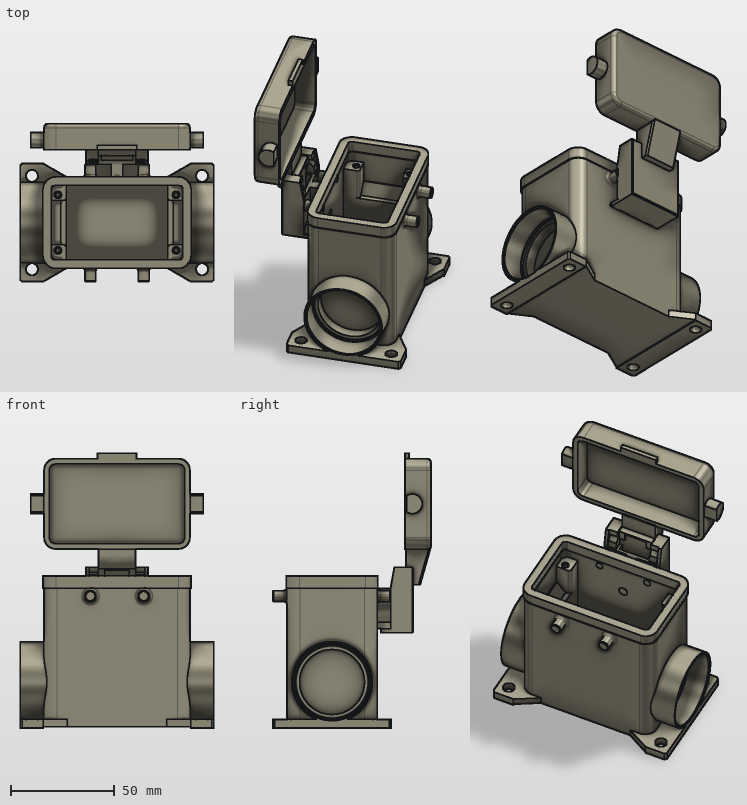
import cadquery as cq
import math

SIDES = (-1, 1)

OVERLAP = 1.0

RIM_LENGTH = 71.4
RIM_WIDTH = 44.2
SHELL_LENGTH = 70.4
SHELL_WIDTH = 43.6
SHELL_TOP = 73.3
SHELL_BOTTOM = 0.5
RIM_HEIGHT = 5.8
RIM_BOTTOM = SHELL_TOP - RIM_HEIGHT
SHELL_CORNER = 6.2
WALL_Y = SHELL_WIDTH / 2

MOUTH_LENGTH = 63.2
MOUTH_WIDTH = 35.8
MOUTH_CORNER = 2.0
WELL_STEP_X = 0.5
WELL_STEP_Y = 0.9
WELL_CORNER = 3.6
WELL_FLOOR = 4.2
WELL_LENGTH = MOUTH_LENGTH + 2 * WELL_STEP_X
WELL_WIDTH = MOUTH_WIDTH + 2 * WELL_STEP_Y

LEDGE_X = 24.4
LEDGE_TOP = 45.9
LEDGE_SLOPE_X = 27.0
LEDGE_SLOPE_TOP = 51.2
POST_Y = 10.7
POST_TOP = 61.8
POST_EDGE_FILLET = 1.5
POST_HOLE_X = 28.5
POST_HOLE_Y = 13.4
POST_HOLE_DIAMETER = 2.4
POST_HOLE_MOUTH_DIAMETER = 3.5
POST_HOLE_DEPTH = 12.0
POST_HOLE_COUNTERSINK_ANGLE = 90.0

OVERALL_LENGTH = 93.5
END_X = OVERALL_LENGTH / 2
PORT_Z = 22.2
PORT_RADIUS = 19.5
BORE_RADIUS = 18.2
BORE_DEPTH = 10.8
BORE_MOUTH_CHAMFER = 0.5
BORE_MOUTH_ANGLE = 45.0
SEAT_RADIUS = 17.5
SEAT_DEPTH = 12.0
KNOCKOUT_RADIUS = 15.7
KNOCKOUT_DEPTH = 17.5

FOOT_HALF_WIDTH = 28.5
FOOT_INNER_X = 35.6
FOOT_THICKNESS = 4.2
FOOT_TAPER_ANGLE = 30.0
FOOT_CORNER = 1.0
FOOT_HOLE_X = 41.0
FOOT_HOLE_Y = 22.5
FOOT_HOLE_DIAMETER = 5.7

PEG_X = 12.85
PEG_Z = 63.6
PEG_RADIUS = 2.7
PEG_ROOT_FILLET = 1.5
PEG_TIP_CHAMFER = 0.4
FRONT_PEG_END = FOOT_HALF_WIDTH
HINGE_FRONT = 28.2

UPPER_STUD_RADIUS = 1.8
LOWER_STUD_RADIUS = 2.3
LOWER_STUD_Z = 51.6

PAD_TOP = 67.3
PAD_BOTTOM = 47.9
PAD_STEM_HALF_WIDTH = 2.7
PAD_FLARE_RADIUS = 8.3
PAD_FOOT_SLOPE_TOP = 51.0

BRACKET_HALF_WIDTH = 15.0
BRACKET_REAR = 39.1
BRACKET_TOP = 77.6
BRACKET_BOTTOM = 45.9
BRACKET_TOP_FRONT = 30.0
BRACKET_SLOPE_BOTTOM = 67.6
BRACKET_LIP_FRONT = 23.6
BRACKET_REAR_CHAMFER = 0.5
CHEEK_OUTER_THICKNESS = 1.7
CHEEK_SETBACK = 0.6
BARREL_TOP = 76.9
BARREL_FRONT = 32.3
BARREL_SKIN = 0.8
BARREL_HOOK_BOTTOM = 72.0
RECESS_HALF_WIDTH = 5.8
RECESS_DEPTH = 0.8
CROSSBAR_REAR = 30.0
TROUGH_HALF_WIDTH = 7.5
TROUGH_FLOOR = 60.0
NOTCH_TOP = 75.0
NOTCH_FRONT_Z = 70.3
NOTCH_BACK_Y = 32.2
NOTCH_BACK_Z = 73.8

LID_FRONT = 35.1
LID_REAR = 47.75
LID_LENGTH = SHELL_LENGTH
LID_BOTTOM = 86.3
LID_HEIGHT = 43.6
LID_CORNER = 5.6
LID_REAR_FILLET = 2.0
LID_LIP = 2.6
LID_DEPTH = 10.0
LID_MID_Z = LID_BOTTOM + LID_HEIGHT / 2
TAB_WIDTH = 19.0
TAB_TOP = 132.5
TAB_THICKNESS = 2.1
LUG_END_X = 41.7
LUG_RADIUS = 4.75
LUG_Y = 38.75
LUG_FLAT_Y = 36.0

ARM_HALF_WIDTH = 9.0
ARM_FRONT = 35.6
ARM_BOTTOM = 69.0
ARM_BOTTOM_REAR = 42.5
ARM_SLOPE_TOP = 87.5
ARM_EDGE_CHAMFER = 0.8


def box(x_range, y_range, z_range):
    size = [high - low for low, high in (x_range, y_range, z_range)]
    return cq.Workplane("XY").box(*size, centered=False).translate((x_range[0], y_range[0], z_range[0]))


def rounded_block(length, width, bottom, top, corner):
    block = cq.Workplane("XY").workplane(offset=bottom).rect(length, width).extrude(top - bottom)
    return block.edges("|Z").fillet(corner)


def y_cylinder(x, z, radius, y_start, y_end):
    circle = cq.Workplane("XZ", origin=(x, y_start, z)).circle(radius)
    return circle.extrude(y_start - y_end)


def x_extrusion(yz_points, half_width):
    """Closed outline in the YZ plane, extruded symmetrically about X = 0."""
    return cq.Workplane("YZ").polyline(yz_points).close().extrude(half_width, both=True)


def foot(side):
    """Base plate under one end, tapering in towards the side walls."""
    taper_run = (FOOT_HALF_WIDTH - WALL_Y) / math.tan(math.radians(FOOT_TAPER_ANGLE))
    taper_end_x = FOOT_INNER_X - taper_run
    outline = [
        (taper_end_x, -WALL_Y),
        (FOOT_INNER_X, -FOOT_HALF_WIDTH),
        (END_X, -FOOT_HALF_WIDTH),
        (END_X, FOOT_HALF_WIDTH),
        (FOOT_INNER_X, FOOT_HALF_WIDTH),
        (taper_end_x, WALL_Y),
    ]
    plate = cq.Workplane("XY").polyline(outline).close().extrude(FOOT_THICKNESS)
    plate = plate.edges("|Z and >X").chamfer(FOOT_CORNER)
    raised_part = box((0, FOOT_INNER_X), (-FOOT_HALF_WIDTH, FOOT_HALF_WIDTH), (0, SHELL_BOTTOM))
    holes = cq.Workplane("XY").pushPoints([(FOOT_HOLE_X, y * FOOT_HOLE_Y) for y in SIDES])
    holes = holes.circle(FOOT_HOLE_DIAMETER / 2).extrude(FOOT_THICKNESS)
    plate = plate.cut(raised_part).cut(holes)
    return plate if side > 0 else plate.mirror("YZ")


def port_cylinder(side, radius, depth):
    """Cylinder reaching inwards from one end of the housing along X."""
    start = cq.Workplane("YZ", origin=(side * END_X, 0, PORT_Z))
    return start.circle(radius).extrude(-side * depth)


def port_bore(side):
    """Stepped bore that stops at a closed knockout wall."""
    bore = port_cylinder(side, BORE_RADIUS, BORE_DEPTH)
    mouth = cq.Workplane("YZ", origin=(side * END_X, 0, PORT_Z)).circle(BORE_RADIUS + BORE_MOUTH_CHAMFER)
    mouth = mouth.extrude(-side * BORE_MOUTH_CHAMFER, taper=BORE_MOUTH_ANGLE)
    seat = port_cylinder(side, SEAT_RADIUS, SEAT_DEPTH)
    knockout = port_cylinder(side, KNOCKOUT_RADIUS, KNOCKOUT_DEPTH)
    return bore.union(mouth).union(seat).union(knockout)


def end_ledge(side):
    """Thick lower end wall with a sloped shoulder."""
    wall_x = MOUTH_LENGTH / 2
    back_x = WELL_LENGTH / 2 + OVERLAP
    outline = [
        (LEDGE_X, WELL_FLOOR),
        (LEDGE_X, LEDGE_TOP),
        (LEDGE_SLOPE_X, LEDGE_TOP),
        (wall_x, LEDGE_SLOPE_TOP),
        (back_x, LEDGE_SLOPE_TOP),
        (back_x, WELL_FLOOR),
    ]
    ledge = cq.Workplane("XZ").polyline([(side * x, z) for x, z in outline]).close()
    return ledge.extrude(WELL_WIDTH / 2, both=True)


def screw_post(x_side, y_side):
    post = box((LEDGE_X, WELL_LENGTH / 2), (POST_Y, WELL_WIDTH / 2), (WELL_FLOOR, POST_TOP))
    post = post.edges("|Z and <X and <Y").fillet(POST_EDGE_FILLET)
    post = post.faces(">Z").workplane(origin=(POST_HOLE_X, POST_HOLE_Y, POST_TOP))
    post = post.cskHole(
        POST_HOLE_DIAMETER, POST_HOLE_MOUTH_DIAMETER, POST_HOLE_COUNTERSINK_ANGLE, POST_HOLE_DEPTH
    )
    if x_side < 0:
        post = post.mirror("YZ")
    if y_side < 0:
        post = post.mirror("XZ")
    return post


def peg(x, y_end):
    """Round peg with a flared root on the wall, revolved about its own axis."""
    length = abs(y_end) - WALL_Y
    root_radius = PEG_RADIUS + PEG_ROOT_FILLET
    arc_mid = PEG_ROOT_FILLET * (1 - math.sqrt(0.5))
    profile = (
        cq.Workplane("XY")
        .moveTo(0, -OVERLAP)
        .lineTo(root_radius, -OVERLAP)
        .lineTo(root_radius, 0)
        .threePointArc((PEG_RADIUS + arc_mid, arc_mid), (PEG_RADIUS, PEG_ROOT_FILLET))
        .lineTo(PEG_RADIUS, length - PEG_TIP_CHAMFER)
        .lineTo(PEG_RADIUS - PEG_TIP_CHAMFER, length)
        .lineTo(0, length)
        .close()
    )
    solid = profile.revolve(360, (0, 0, 0), (0, 1, 0)).translate((x, WALL_Y, PEG_Z))
    return solid if y_end > 0 else solid.mirror("XZ")


def hinge_studs():
    """Three studs that run from the bracket through the rear wall, flush with its inner face."""
    inner_y = WELL_WIDTH / 2
    studs = y_cylinder(0, LOWER_STUD_Z, LOWER_STUD_RADIUS, inner_y, HINGE_FRONT)
    for side in SIDES:
        studs = studs.add(y_cylinder(side * PEG_X, PEG_Z, UPPER_STUD_RADIUS, inner_y, HINGE_FRONT))
    return studs


def make_housing():
    body = rounded_block(SHELL_LENGTH, SHELL_WIDTH, SHELL_BOTTOM, RIM_BOTTOM, SHELL_CORNER)
    body = body.union(rounded_block(RIM_LENGTH, RIM_WIDTH, RIM_BOTTOM, SHELL_TOP, SHELL_CORNER))
    for side in SIDES:
        body = body.union(foot(side))
        body = body.union(port_cylinder(side, PORT_RADIUS, KNOCKOUT_DEPTH))
        for y_end in (-FRONT_PEG_END, HINGE_FRONT):
            body = body.union(peg(side * PEG_X, y_end))

    well = rounded_block(WELL_LENGTH, WELL_WIDTH, WELL_FLOOR, RIM_BOTTOM, WELL_CORNER)
    mouth = rounded_block(MOUTH_LENGTH, MOUTH_WIDTH, RIM_BOTTOM, SHELL_TOP, MOUTH_CORNER)
    for x_side in SIDES:
        well = well.cut(end_ledge(x_side))
        for y_side in SIDES:
            well = well.cut(screw_post(x_side, y_side))
    body = body.cut(well).cut(mouth)
    for side in SIDES:
        body = body.cut(port_bore(side))
    for stud in hinge_studs().vals():
        body = body.cut(cq.Workplane(stud))
    return body


def hinge_pad():
    """Narrow stem that flares out into a wide foot, standing against the rear wall."""
    flare_x = PAD_STEM_HALF_WIDTH + PAD_FLARE_RADIUS
    flare_top = PAD_FOOT_SLOPE_TOP + PAD_FLARE_RADIUS
    foot_x = flare_x + PAD_FOOT_SLOPE_TOP - PAD_BOTTOM
    arc_x = flare_x - PAD_FLARE_RADIUS * math.sqrt(0.5)
    arc_z = flare_top - PAD_FLARE_RADIUS * math.sqrt(0.5)
    outline = (
        cq.Workplane("XZ", origin=(0, WALL_Y, 0))
        .moveTo(PAD_STEM_HALF_WIDTH, PAD_TOP)
        .lineTo(PAD_STEM_HALF_WIDTH, flare_top)
        .threePointArc((arc_x, arc_z), (flare_x, PAD_FOOT_SLOPE_TOP))
        .lineTo(foot_x, PAD_BOTTOM)
        .lineTo(-foot_x, PAD_BOTTOM)
        .lineTo(-flare_x, PAD_FOOT_SLOPE_TOP)
        .threePointArc((-arc_x, arc_z), (-PAD_STEM_HALF_WIDTH, flare_top))
        .lineTo(-PAD_STEM_HALF_WIDTH, PAD_TOP)
        .close()
    )
    return outline.extrude(WALL_Y - HINGE_FRONT)


def cheek_relief(side):
    """Set-back of one cheek's inner front, with a notch whose floor slopes down to the front."""
    width = BRACKET_HALF_WIDTH - CHEEK_OUTER_THICKNESS - ARM_HALF_WIDTH
    start = cq.Workplane("YZ", origin=(side * ARM_HALF_WIDTH, 0, 0))
    setback = [
        (HINGE_FRONT, BRACKET_SLOPE_BOTTOM),
        (HINGE_FRONT + CHEEK_SETBACK, BRACKET_SLOPE_BOTTOM),
        (BRACKET_TOP_FRONT + CHEEK_SETBACK, BRACKET_TOP),
        (HINGE_FRONT, BRACKET_TOP),
    ]
    notch = [
        (HINGE_FRONT, NOTCH_TOP),
        (NOTCH_BACK_Y, NOTCH_TOP),
        (NOTCH_BACK_Y, NOTCH_BACK_Z),
        (NOTCH_BACK_Y - (NOTCH_BACK_Z - NOTCH_FRONT_Z), NOTCH_FRONT_Z),
        (HINGE_FRONT, NOTCH_FRONT_Z),
    ]
    relief = start.polyline(setback).close().extrude(side * width)
    return relief.union(start.polyline(notch).close().extrude(side * width))


def hinge_bracket():
    outline = [
        (BRACKET_REAR, BRACKET_BOTTOM),
        (BRACKET_REAR, BRACKET_TOP),
        (BRACKET_TOP_FRONT, BRACKET_TOP),
        (HINGE_FRONT, BRACKET_SLOPE_BOTTOM),
        (HINGE_FRONT, PAD_BOTTOM),
        (BRACKET_LIP_FRONT, PAD_BOTTOM),
        (BRACKET_LIP_FRONT, BRACKET_BOTTOM),
    ]
    bracket = x_extrusion(outline, BRACKET_HALF_WIDTH)
    bracket = bracket.faces(">Y").chamfer(BRACKET_REAR_CHAMFER)
    pocket_x = (-ARM_HALF_WIDTH, ARM_HALF_WIDTH)
    recess_x = (-RECESS_HALF_WIDTH, RECESS_HALF_WIDTH)
    trough_x = (-TROUGH_HALF_WIDTH, TROUGH_HALF_WIDTH)
    recess_back = BARREL_FRONT + RECESS_DEPTH
    cuts = [
        box(pocket_x, (HINGE_FRONT, BARREL_FRONT), (PAD_TOP, BRACKET_TOP)),
        box(pocket_x, (BARREL_FRONT, ARM_FRONT), (BARREL_TOP, BRACKET_TOP)),
        box(pocket_x, (BARREL_FRONT, recess_back), (PAD_TOP, BARREL_HOOK_BOTTOM)),
        box(recess_x, (BARREL_FRONT, recess_back), (PAD_TOP, BARREL_TOP - BARREL_SKIN)),
        box(trough_x, (CROSSBAR_REAR, recess_back), (TROUGH_FLOOR, PAD_TOP)),
    ]
    for cut in cuts:
        bracket = bracket.cut(cut)
    for side in SIDES:
        bracket = bracket.cut(cheek_relief(side))
    return bracket


def lid_arm():
    outline = [
        (ARM_FRONT, ARM_BOTTOM),
        (ARM_BOTTOM_REAR, ARM_BOTTOM),
        (LID_REAR, ARM_SLOPE_TOP),
        (LID_REAR - LID_REAR_FILLET, LID_BOTTOM + LID_CORNER),
        (ARM_FRONT, LID_BOTTOM + LID_LIP),
    ]
    arm = x_extrusion(outline, ARM_HALF_WIDTH)
    slope_middle = (0, (ARM_BOTTOM_REAR + LID_REAR) / 2, (ARM_BOTTOM + ARM_SLOPE_TOP) / 2)
    return arm.faces(cq.NearestToPointSelector(slope_middle)).edges("#X").chamfer(ARM_EDGE_CHAMFER)


def lid_block(length, height, corner, y_start, y_end):
    block = cq.Workplane("XZ", origin=(0, y_start, LID_MID_Z)).rect(length, height)
    return block.extrude(y_start - y_end).edges("|Y").fillet(corner)


def lid_lugs():
    """Round lugs on both ends of the lid, flattened on the open side."""
    lugs = cq.Workplane("YZ", origin=(0, LUG_Y, LID_MID_Z)).circle(LUG_RADIUS).extrude(LUG_END_X, both=True)
    flat = cq.Workplane("XY").box(2 * LUG_END_X, LUG_RADIUS, 2 * LUG_RADIUS)
    return lugs.cut(flat.translate((0, LUG_FLAT_Y - LUG_RADIUS / 2, LID_MID_Z)))


def make_hinged_lid():
    lid = lid_block(LID_LENGTH, LID_HEIGHT, LID_CORNER, LID_FRONT, LID_REAR)
    lid = lid.faces(">Y").edges().fillet(LID_REAR_FILLET)
    tab_x = (-TAB_WIDTH / 2, TAB_WIDTH / 2)
    lid = lid.union(box(tab_x, (LID_FRONT, LID_FRONT + TAB_THICKNESS), (LID_MID_Z, TAB_TOP)))
    lid = lid.union(lid_lugs()).union(lid_arm())
    inner_length = LID_LENGTH - 2 * LID_LIP
    inner_height = LID_HEIGHT - 2 * LID_LIP
    inner_corner = LID_CORNER - LID_LIP
    lid = lid.cut(lid_block(inner_length, inner_height, inner_corner, LID_FRONT, LID_FRONT + LID_DEPTH))
    lid = lid.union(hinge_bracket()).union(hinge_pad())
    for stud in hinge_studs().vals():
        lid = lid.union(cq.Workplane(stud))
    return lid


housing = make_housing()
hinged_lid = make_hinged_lid()

result = cq.Compound.makeCompound([housing.solids().val(), hinged_lid.solids().val()])